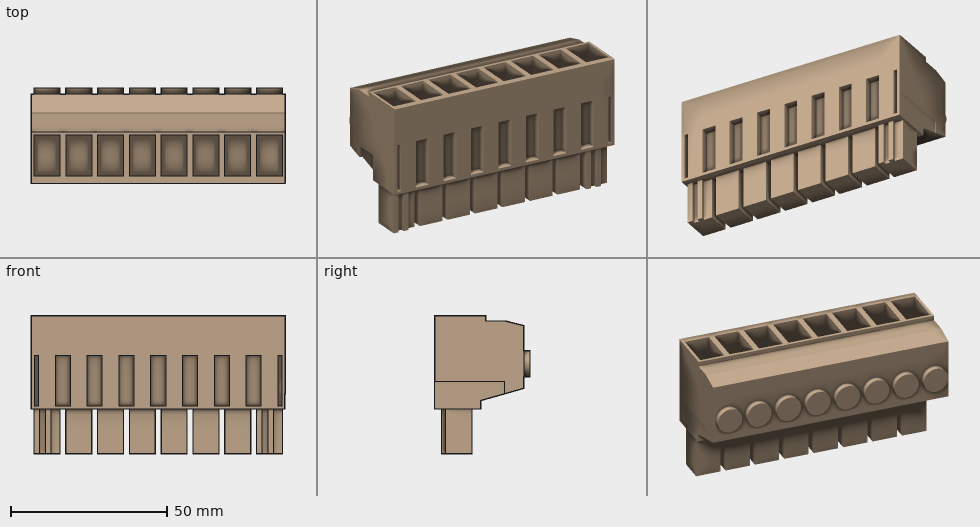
import cadquery as cq

LENGTH = 81.3
HEIGHT = 44.1
DEPTH = 30.6
SCREW_LENGTH = 1.95
HOUSING_DEPTH = DEPTH - SCREW_LENGTH
HOUSING_BOTTOM = 14.3

POLE_COUNT = 8
PITCH = LENGTH / POLE_COUNT
POLE_CENTRES = [(i + 0.5) * PITCH for i in range(POLE_COUNT)]

TOP_DEPTH = 16.4
TOP_STEP = 1.6
TOP_SLOPE_START = 22.6
TOP_SLOPE_DROP = 1.55
FOOT_DEPTH = 14.9
FOOT_TOP = 17.0
UNDERSIDE_BACK = 20.9

WIRE_WIDTH = 8.3
WIRE_FRONT = 2.35
WIRE_BACK = 15.45
WIRE_DEPTH = 11.4

WINDOW_WIDTH = 4.8
WINDOW_DEPTH = 2.9
WINDOW_BOTTOM = 15.3
WINDOW_TOP = 31.45
END_WALL = 1.05

END_RECESS_DEPTH = 1.0
END_RECESS_FRONT = 13.9
END_RECESS_BACK = 22.4
END_RECESS_TOP = 23.1

END_PAD_THICKNESS = 0.12
END_PAD_SETBACK = 0.2

PLUG_WIDTH = 8.4
PLUG_FRONT = 2.2
INNER_PLUG_SETBACK = 0.9
PLUG_BACK = 12.0
KEY_DEPTH = 1.3
KEY_RIB_WIDTH = 1.8
KEY_GROOVE_WIDTH = 1.9

SCREW_DIAMETER = 8.4
SCREW_HEIGHT = 28.8


def box(x0, x1, y0, y1, z0, z1):
    corner = cq.Workplane("XY", origin=(x0, y0, z0))
    return corner.box(x1 - x0, y1 - y0, z1 - z0, centered=False)


def shell_slab(x0, x1):
    """Slice of the housing's side outline between two X positions."""
    outline = [
        (0, HOUSING_BOTTOM),
        (FOOT_DEPTH, HOUSING_BOTTOM),
        (FOOT_DEPTH, FOOT_TOP),
        (HOUSING_DEPTH, UNDERSIDE_BACK),
        (HOUSING_DEPTH, HEIGHT - TOP_STEP - TOP_SLOPE_DROP),
        (TOP_SLOPE_START, HEIGHT - TOP_STEP),
        (TOP_DEPTH, HEIGHT - TOP_STEP),
        (TOP_DEPTH, HEIGHT),
        (0, HEIGHT),
    ]
    return cq.Workplane("YZ", origin=(x0, 0, 0)).polyline(outline).close().extrude(x1 - x0)


def end_pad():
    """Raised skin on the +X end that stops short of the front edge and of the lower front area."""
    start = LENGTH - END_PAD_THICKNESS
    pad = shell_slab(start, LENGTH)
    front_strip = box(start, LENGTH, 0, END_PAD_SETBACK, HOUSING_BOTTOM, HEIGHT)
    lower_front = box(start, LENGTH, 0, END_RECESS_BACK, HOUSING_BOTTOM, END_RECESS_TOP)
    return pad.cut(front_strip).cut(lower_front)


def wire_opening(x):
    return box(x - WIRE_WIDTH / 2, x + WIRE_WIDTH / 2, WIRE_FRONT, WIRE_BACK, HEIGHT - WIRE_DEPTH, HEIGHT)


def window(x):
    """Pocket in the front face, narrowed at both ends of the row to leave an end wall."""
    left = max(x - WINDOW_WIDTH / 2, END_WALL)
    right = min(x + WINDOW_WIDTH / 2, LENGTH - END_WALL)
    return box(left, right, 0, WINDOW_DEPTH, WINDOW_BOTTOM, WINDOW_TOP)


def end_recess():
    return box(0, END_RECESS_DEPTH, END_RECESS_FRONT, END_RECESS_BACK, HOUSING_BOTTOM, END_RECESS_TOP)


def plug(x, front):
    return box(x - PLUG_WIDTH / 2, x + PLUG_WIDTH / 2, front, PLUG_BACK, 0, HOUSING_BOTTOM)


def inner_plug(x):
    return plug(x, PLUG_FRONT + INNER_PLUG_SETBACK)


def end_plug(x):
    """Plug whose front has two upright ribs with a groove between them and a step beside them."""
    left = x - PLUG_WIDTH / 2
    groove = left + KEY_RIB_WIDTH
    step = groove + KEY_GROOVE_WIDTH + KEY_RIB_WIDTH
    back = PLUG_FRONT + KEY_DEPTH
    groove_cut = box(groove, groove + KEY_GROOVE_WIDTH, PLUG_FRONT, back, 0, HOUSING_BOTTOM)
    step_cut = box(step, left + PLUG_WIDTH, PLUG_FRONT, back, 0, HOUSING_BOTTOM)
    return plug(x, PLUG_FRONT).cut(groove_cut).cut(step_cut)


def make_housing():
    housing = shell_slab(0, LENGTH - END_PAD_THICKNESS).union(end_pad()).cut(end_recess())
    for x in POLE_CENTRES:
        housing = housing.cut(wire_opening(x))
    for i in range(POLE_COUNT + 1):
        housing = housing.cut(window(i * PITCH))
    for x in POLE_CENTRES[1:-1]:
        housing = housing.union(inner_plug(x))
    for x in (POLE_CENTRES[0], POLE_CENTRES[-1]):
        housing = housing.union(end_plug(x))
    return housing


def make_screw(x):
    back_face = cq.Workplane("XZ", origin=(x, HOUSING_DEPTH, SCREW_HEIGHT))
    return back_face.circle(SCREW_DIAMETER / 2).extrude(-SCREW_LENGTH)


housing = make_housing()
screws = [make_screw(x) for x in POLE_CENTRES]

result = cq.Compound.makeCompound([housing.val(), *[screw.val() for screw in screws]])